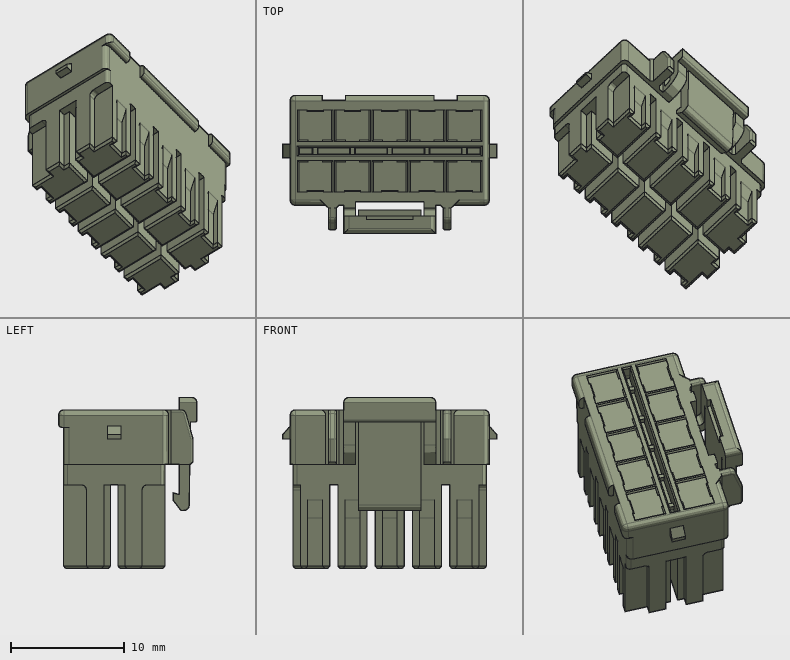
import cadquery as cq
import math


columns = 5
pitch = 3.29
column_places = [(i - (columns - 1) / 2) * pitch for i in range(columns)]

body_half_x = 8.55
body_half_y = 4.48
body_corner_radius = 0.34
leg_height = 7.39
leg_gap_x = 0.7
leg_gap_y = 0.65
leg_chamfer = 0.2
corner_notch_depth = 0.66
outer_notch_y = 2.45
outer_notch_radius = 0.47
inner_notch_y = 0.93
leg_pocket_width = 1.32
leg_pocket_depth = 0.5
leg_pocket_low_z = 4.46
leg_pocket_high_z = 6.03

hood_half_x = 8.79
hood_front_y = -4.8
hood_bottom_z = 9.19
hood_top_z = 14.0
hood_radius = 0.5
lip_back_y = 4.91
lip_bottom_z = 12.44
lip_bottom_radius = 0.34
lip_gap_width = 2.02
lip_gap_x = 1.5 * pitch

rim_bevel = 0.13
cavity_width = 3.14
cavity_inner_y = 0.83
cavity_outer_y = 3.63
cavity_key_width = 1.44
cavity_key_top_depth = 0.05
cavity_key_floor_depth = 0.15
cavity_relief_width = 1.25
slot_half_x = 8.16
slot_half_y = 0.45
slot_depth = 1.13
slot_land_width = 0.38
slot_pocket_depth = 0.38
slot_pocket_bevel = 0.08

nub_tip_x = 9.45
nub_width = 1.21
nub_bottom_z = 11.42
nub_tip_z = 11.81
nub_top_z = 12.57

rib_x = 5.07
rib_width = 0.72
rib_front_y = -6.95
rib_slope_z = 11.43
rib_top_y = -6.24
rib_top_radius = 0.47
rib_edge_radius = 0.19
rib_bottom_chamfer = 0.23
rib_root_y = -5.03

plate_half_x = 2.75
plate_back_y = -5.73
plate_front_y = -6.73
plate_tip_front_y = -6.62
plate_tip_z = 5.12
plate_tip_radius = 0.5
barb_y = -5.2
barb_top_z = 6.7
barb_root_z = 6.54
barb_low_z = 6.01
barb_tip_back_y = -5.88
head_half_x = 4.06
head_front_y = -7.3
head_bottom_z = 12.9
head_top_z = 15.1
head_radius = 0.47
head_bottom_radius = 0.19
head_notch_half_x = 2.05
head_notch_width = 0.32
head_notch_depth = 0.95
arm_inner_x = 3.0
hinge_center_y = -5.03
hinge_fillet = 0.19

overlap = 0.19


def block(x0, x1, y0, y1, z0, z1):
    """Box between two opposite corners."""
    return cq.Workplane("XY").box(x1 - x0, y1 - y0, z1 - z0, centered=False).translate((x0, y0, z0))


def along_x(outline, half_length):
    """Extrude a closed YZ outline equally to both sides of X = 0."""
    return outline.extrude(half_length, both=True)


def both_sides(shape):
    """The shape together with its mirror image across X = 0."""
    return shape.union(shape.mirror("YZ"))


def both_rows(shape):
    """The shape together with its mirror image across Y = 0."""
    return shape.union(shape.mirror("XZ"))


def make_body():
    body = block(-body_half_x, body_half_x, -body_half_y, body_half_y, 0, lip_bottom_z)
    body = body.edges("|Z").fillet(body_corner_radius)

    for i in range(columns - 1):
        x = column_places[i] + pitch / 2
        body = body.cut(block(x - leg_gap_x / 2, x + leg_gap_x / 2, -body_half_y, body_half_y, 0, leg_height))
    body = body.cut(block(-body_half_x, body_half_x, -leg_gap_y / 2, leg_gap_y / 2, 0, leg_height))

    notch_x = body_half_x - corner_notch_depth
    outer_notch = block(notch_x, body_half_x, outer_notch_y, body_half_y, 0, leg_height)
    outer_notch = outer_notch.edges("|X and >Z and <Y").fillet(outer_notch_radius)
    inner_notch = block(notch_x, body_half_x, 0, inner_notch_y, 0, leg_height)
    body = body.cut(both_sides(both_rows(outer_notch.union(inner_notch))))

    pocket_y = body_half_y - leg_pocket_depth
    pocket = along_x(
        cq.Workplane("YZ").polyline([
            (body_half_y, 0),
            (body_half_y, leg_pocket_high_z),
            (pocket_y, leg_pocket_low_z),
            (pocket_y, 0),
        ]).close(),
        leg_pocket_width / 2,
    )
    for x in column_places:
        body = body.cut(both_rows(pocket).translate((x, 0, 0)))

    return body.faces("<Z").edges().chamfer(leg_chamfer)


def make_hood():
    skirt_top_z = lip_bottom_z + lip_bottom_radius
    skirt = block(-hood_half_x, hood_half_x, hood_front_y, body_half_y, hood_bottom_z, skirt_top_z)
    skirt = skirt.edges("|Z").fillet(hood_radius)
    cap = block(-hood_half_x, hood_half_x, hood_front_y, lip_back_y, lip_bottom_z, hood_top_z)
    cap = cap.edges("|Z").fillet(hood_radius)
    cap = cap.faces(">Z").edges().fillet(hood_radius)
    rounded_lip = block(-hood_half_x, hood_half_x, hood_front_y, lip_back_y, lip_bottom_z, hood_top_z)
    rounded_lip = rounded_lip.edges(">Y and <Z").fillet(lip_bottom_radius)
    hood = skirt.union(cap.intersect(rounded_lip))

    for x in (-lip_gap_x, lip_gap_x):
        hood = hood.cut(block(
            x - lip_gap_width / 2, x + lip_gap_width / 2,
            body_half_y, lip_back_y,
            hood_bottom_z, hood_top_z,
        ))

    hood = hood.union(block(-rib_x, rib_x, hood_front_y, 0, hood_bottom_z, hood_top_z))
    return hood.cut(block(-arm_inner_x, arm_inner_x, hood_front_y, -body_half_y, hood_bottom_z, hood_top_z))


def make_nub():
    root_x = hood_half_x - overlap
    return cq.Workplane("XZ").polyline([
        (root_x, nub_bottom_z),
        (nub_tip_x, nub_bottom_z),
        (nub_tip_x, nub_tip_z),
        (hood_half_x, nub_top_z),
        (root_x, nub_top_z),
    ]).close().extrude(nub_width / 2, both=True)


def make_rib():
    """Guard rib at +X with the flare that joins it to the hood."""
    rib = along_x(
        cq.Workplane("YZ").polyline([
            (hood_front_y, hood_bottom_z),
            (rib_front_y, hood_bottom_z),
            (rib_front_y, rib_slope_z),
            (rib_top_y, hood_top_z),
            (hood_front_y, hood_top_z),
        ]).close(),
        rib_width / 2,
    )
    rib = rib.edges(cq.selectors.NearestToPointSelector((0, rib_top_y, hood_top_z))).fillet(rib_top_radius)
    rib = rib.edges("|X and <Y and <Z").chamfer(rib_bottom_chamfer)
    front_edges = rib.faces("|X").edges().edges(
        cq.selectors.BoxSelector(
            (-rib_width, rib_front_y - overlap, hood_bottom_z + overlap),
            (rib_width, hood_front_y - overlap, hood_top_z + overlap),
        )
    )
    rib = front_edges.fillet(rib_edge_radius)

    flare_back_y = hood_front_y + hood_radius
    flare_half = rib_width / 2 + flare_back_y - rib_root_y
    flare = cq.Workplane("XY").workplane(offset=hood_bottom_z).polyline([
        (-rib_width / 2, rib_root_y),
        (rib_width / 2, rib_root_y),
        (flare_half, flare_back_y),
        (-flare_half, flare_back_y),
    ]).close().extrude(hood_top_z - hood_bottom_z)
    return rib.union(flare).translate((rib_x, 0, 0))


def make_arm():
    """Hinge arm at +X: down from the latch head, then round into the hood front."""
    outer_radius = hinge_center_y - plate_front_y
    inner_radius = hinge_center_y - hinge_fillet - plate_back_y
    trough_z = hood_bottom_z + outer_radius - inner_radius - hinge_fillet
    bend_z = hood_bottom_z + outer_radius
    diagonal = math.sqrt(0.5)
    trough_y = hinge_center_y - hinge_fillet
    outline = (
        cq.Workplane("YZ").workplane(offset=arm_inner_x)
        .moveTo(-body_half_y, hood_bottom_z)
        .lineTo(hinge_center_y, hood_bottom_z)
        .threePointArc(
            (hinge_center_y - outer_radius * diagonal, bend_z - outer_radius * diagonal),
            (plate_front_y, bend_z),
        )
        .lineTo(plate_front_y, head_bottom_z + overlap)
        .lineTo(plate_back_y, head_bottom_z + overlap)
        .lineTo(plate_back_y, trough_z + inner_radius)
        .threePointArc(
            (trough_y - inner_radius * diagonal, trough_z + inner_radius * (1 - diagonal)),
            (trough_y, trough_z),
        )
        .threePointArc(
            (hinge_center_y - hinge_fillet * (1 - diagonal), trough_z + hinge_fillet * (1 - diagonal)),
            (hinge_center_y, trough_z + hinge_fillet),
        )
        .lineTo(hinge_center_y, hood_top_z)
        .lineTo(-body_half_y, hood_top_z)
        .close()
    )
    return outline.extrude(head_half_x - arm_inner_x)


def make_latch():
    plate = along_x(
        cq.Workplane("YZ").polyline([
            (plate_front_y, head_bottom_z + overlap),
            (plate_tip_front_y, plate_tip_z),
            (barb_tip_back_y, plate_tip_z),
            (barb_y, barb_low_z),
            (barb_y, barb_top_z),
            (plate_back_y, barb_root_z),
            (plate_back_y, head_bottom_z + overlap),
        ]).close(),
        plate_half_x,
    )
    tip_corner = cq.selectors.NearestToPointSelector((0, plate_tip_front_y, plate_tip_z))
    plate = plate.edges(tip_corner).fillet(plate_tip_radius)

    head = block(-head_half_x, head_half_x, head_front_y, plate_back_y, head_bottom_z, head_top_z)
    head = head.faces(">Z").edges("<Y or |Y").fillet(head_radius)
    head = head.faces("<Z").edges("<Y").fillet(head_bottom_radius)
    head = head.cut(block(
        -head_notch_half_x, head_notch_half_x,
        plate_back_y - head_notch_width, plate_back_y,
        head_top_z - head_notch_depth, head_top_z,
    ))
    return head.union(plate).union(both_sides(make_arm()))


def make_cavity():
    """Cutter for one shallow contact cavity of the +Y row, centred on X = 0."""
    floor_z = hood_top_z - rim_bevel
    half = cavity_width / 2
    sides = cq.Workplane("XZ").polyline([
        (-half, hood_top_z),
        (half, hood_top_z),
        (half - rim_bevel, floor_z),
        (-half + rim_bevel, floor_z),
    ]).close().extrude(-cavity_outer_y)
    depth_outline = along_x(
        cq.Workplane("YZ").polyline([
            (cavity_inner_y, hood_top_z),
            (cavity_inner_y + rim_bevel, floor_z),
            (cavity_outer_y, floor_z),
            (cavity_outer_y, hood_top_z),
        ]).close(),
        half,
    )
    relief = block(
        -cavity_relief_width / 2, cavity_relief_width / 2,
        cavity_inner_y, cavity_outer_y,
        floor_z, hood_top_z,
    )
    key = along_x(
        cq.Workplane("YZ").polyline([
            (cavity_outer_y, floor_z),
            (cavity_outer_y, hood_top_z),
            (cavity_outer_y - cavity_key_top_depth, hood_top_z),
            (cavity_outer_y - cavity_key_floor_depth, floor_z),
        ]).close(),
        cavity_key_width / 2,
    )
    return sides.intersect(depth_outline).union(relief).cut(key)


def tapered_pocket(x0, x1, half_y, top_z, depth, inset):
    """Rectangular cutter that narrows by the inset on every side on its way down."""
    center_x = (x0 + x1) / 2
    return (
        cq.Workplane("XY").workplane(offset=top_z).center(center_x, 0)
        .rect(x1 - x0, 2 * half_y)
        .workplane(offset=-depth)
        .rect(x1 - x0 - 2 * inset, 2 * (half_y - inset))
        .loft(combine=True)
    )


def make_slot():
    """Cutter for the long slot: bevelled rim, straight walls, then pockets between lands."""
    half_x = slot_half_x - rim_bevel
    half_y = slot_half_y - rim_bevel
    land_z = hood_top_z - slot_depth
    slot = tapered_pocket(-slot_half_x, slot_half_x, slot_half_y, hood_top_z, rim_bevel, rim_bevel)
    slot = slot.union(block(-half_x, half_x, -half_y, half_y, land_z, hood_top_z - rim_bevel))
    starts = [-half_x] + [x + slot_land_width / 2 for x in column_places]
    ends = [x - slot_land_width / 2 for x in column_places] + [half_x]
    for x0, x1 in zip(starts, ends):
        slot = slot.union(tapered_pocket(x0, x1, half_y, land_z, slot_pocket_depth, slot_pocket_bevel))
    return slot


result = make_body().union(make_hood())
result = result.union(both_sides(make_nub().union(make_rib())))
result = result.union(make_latch())
cavities = both_rows(make_cavity())
for column_x in column_places:
    result = result.cut(cavities.translate((column_x, 0, 0)))
result = result.cut(make_slot())